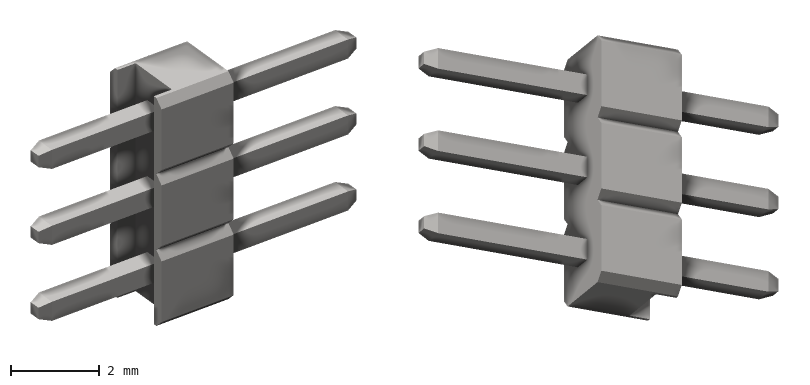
import cadquery as cq


position_count = 3
header_height = 6.0
cell_width = 2.0
cell_depth = 2.0
corner_chamfer = 0.2
channel_depth = 0.5
channel_wall = 0.3
pin_length = 8.8
pin_size = 0.5
pin_front_length = 2.8
tip_length = 0.3
tip_size = 0.3

cell_height = header_height / position_count
channel_width = cell_width - 2 * channel_wall
pin_front_y = -cell_depth / 2 - pin_front_length
pin_back_y = pin_front_y + pin_length


def make_housing_cell():
    """Block centred on the origin, with chamfered corners and a channel in its -Y face."""
    block = cq.Workplane("XY").box(cell_width, cell_depth, cell_height)
    block = block.edges("|Y").chamfer(corner_chamfer)
    channel_center_y = (channel_depth - cell_depth) / 2
    channel = (
        cq.Workplane("XY")
        .box(channel_width, channel_depth, cell_height)
        .translate((0, channel_center_y, 0))
    )
    return block.cut(channel)


def make_pin_profile():
    """Outline of the pin along Y, tapered at both ends."""
    half_pin = pin_size / 2
    half_tip = tip_size / 2
    return [
        (-half_tip, pin_front_y),
        (half_tip, pin_front_y),
        (half_pin, pin_front_y + tip_length),
        (half_pin, pin_back_y - tip_length),
        (half_tip, pin_back_y),
        (-half_tip, pin_back_y),
        (-half_pin, pin_back_y - tip_length),
        (-half_pin, pin_front_y + tip_length),
    ]


def make_pin():
    """Square pin along Y: the part common to two crossed extrusions of its outline."""
    profile = make_pin_profile()
    across_x = cq.Workplane("XY").polyline(profile).close().extrude(pin_size / 2, both=True)
    across_z = across_x.rotate((0, 0, 0), (0, 1, 0), 90)
    return across_x.intersect(across_z)


def make_position(index):
    """Housing cell and its pin as one solid, at its place in the stack."""
    center_z = (index - (position_count - 1) / 2) * cell_height
    return make_housing_cell().union(make_pin()).translate((0, 0, center_z))


positions = [make_position(index).val() for index in range(position_count)]

result = cq.Compound.makeCompound(positions)